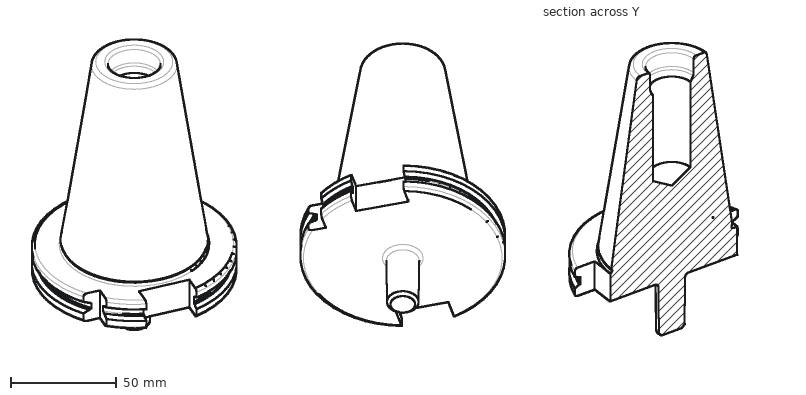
import cadquery as cq
import math

overall_height = 150.8
taper_height = 101.8
gauge_radius = 35.0
taper_slope = 7 / 48
tip_round = 2.1

taper_foot_z = -0.9
relief_z = -1.8
relief_radius = 34.5
relief_fillet = 1.2

flange_diameter = 97.5
flange_radius = flange_diameter / 2
flange_top_z = -3.2
flange_bottom_z = -19.1
rim_round = 1.5
groove_floor_radius = 45.5
groove_floor_width = 3.9
groove_wall_start_radius = 46.5
groove_corner_round = 0.6
groove_center_z = -11.0
groove_wall_angle = math.radians(30)

slot_width = 25.8
left_slot_floor = 35.6
right_slot_floor = 37.8
notch_x = 30.2
notch_y = -29.8

stem_root_radius = 7.8
stem_end_radius = 7.5
stem_fillet = 1.8
stem_chamfer = 1.7

bore_radius = 12.5
bore_mouth_round = 1.5
counterbore_depth = 9.2
seat_radius = 12.2
seat_depth = 10.9
drill_radius = 10.7
drill_start_depth = 13.7
drill_depth = 61.8
drill_point_half_angle = math.radians(59)


def revolve_profile(sketch):
    """Turn a closed (radius, height) outline around the Z axis."""
    return sketch.close().revolve(360, (0, 0, 0), (0, 1, 0))


def make_taper():
    foot_radius = gauge_radius - taper_foot_z * taper_slope
    tip_radius = gauge_radius - taper_height * taper_slope
    outline = (
        cq.Workplane("XZ")
        .moveTo(0, flange_top_z)
        .lineTo(relief_radius + relief_fillet, flange_top_z)
        .radiusArc((relief_radius, flange_top_z + relief_fillet), relief_fillet)
        .lineTo(relief_radius, relief_z)
        .lineTo(foot_radius, taper_foot_z)
        .lineTo(tip_radius, taper_height)
        .lineTo(0, taper_height)
    )
    return revolve_profile(outline).faces(">Z").edges().fillet(tip_round)


def make_flange():
    wall_height = (flange_radius - groove_wall_start_radius) * math.tan(groove_wall_angle)
    floor_top = groove_center_z + groove_floor_width / 2
    floor_bottom = groove_center_z - groove_floor_width / 2
    outline = (
        cq.Workplane("XZ")
        .moveTo(0, flange_bottom_z)
        .lineTo(flange_radius - rim_round, flange_bottom_z)
        .radiusArc((flange_radius, flange_bottom_z + rim_round), -rim_round)
        .lineTo(flange_radius, floor_bottom - wall_height)
        .lineTo(groove_wall_start_radius, floor_bottom)
        .lineTo(groove_floor_radius + groove_corner_round, floor_bottom)
        .radiusArc((groove_floor_radius, floor_bottom + groove_corner_round), groove_corner_round)
        .lineTo(groove_floor_radius, floor_top - groove_corner_round)
        .radiusArc((groove_floor_radius + groove_corner_round, floor_top), groove_corner_round)
        .lineTo(groove_wall_start_radius, floor_top)
        .lineTo(flange_radius, floor_top + wall_height)
        .lineTo(flange_radius, flange_top_z - rim_round)
        .radiusArc((flange_radius - rim_round, flange_top_z), -rim_round)
        .lineTo(0, flange_top_z)
    )
    return revolve_profile(outline)


def flange_cutter(x_min, x_max, y_min, y_max):
    """Block through the full flange thickness."""
    return (
        cq.Workplane("XY", origin=(0, 0, flange_bottom_z))
        .moveTo(x_min, y_min)
        .lineTo(x_max, y_min)
        .lineTo(x_max, y_max)
        .lineTo(x_min, y_max)
        .close()
        .extrude(flange_top_z - flange_bottom_z)
    )


def cut_flange(flange):
    half_slot = slot_width / 2
    left_slot = flange_cutter(-flange_radius, -left_slot_floor, -half_slot, half_slot)
    right_slot = flange_cutter(right_slot_floor, flange_radius, -half_slot, half_slot)
    notch = flange_cutter(notch_x, flange_radius, -flange_radius, notch_y)
    return flange.cut(left_slot).cut(right_slot).cut(notch)


def make_stem():
    end_z = taper_height - overall_height
    fillet_end_z = flange_bottom_z - stem_fillet
    outline = (
        cq.Workplane("XZ")
        .moveTo(0, end_z)
        .lineTo(stem_end_radius - stem_chamfer, end_z)
        .lineTo(stem_end_radius, end_z + stem_chamfer)
        .lineTo(stem_root_radius, fillet_end_z)
        .radiusArc((stem_root_radius + stem_fillet, flange_bottom_z), stem_fillet)
        .lineTo(0, flange_bottom_z)
    )
    return revolve_profile(outline)


def make_bore():
    point_height = drill_radius / math.tan(drill_point_half_angle)
    outline = (
        cq.Workplane("XZ")
        .moveTo(0, taper_height)
        .lineTo(bore_radius + bore_mouth_round, taper_height)
        .radiusArc((bore_radius, taper_height - bore_mouth_round), -bore_mouth_round)
        .lineTo(bore_radius, taper_height - counterbore_depth)
        .tangentArcPoint((seat_radius, taper_height - seat_depth), relative=False)
        .lineTo(drill_radius, taper_height - drill_start_depth)
        .lineTo(drill_radius, taper_height - drill_depth)
        .lineTo(0, taper_height - drill_depth - point_height)
    )
    return revolve_profile(outline)


result = make_taper().union(cut_flange(make_flange())).union(make_stem()).cut(make_bore())